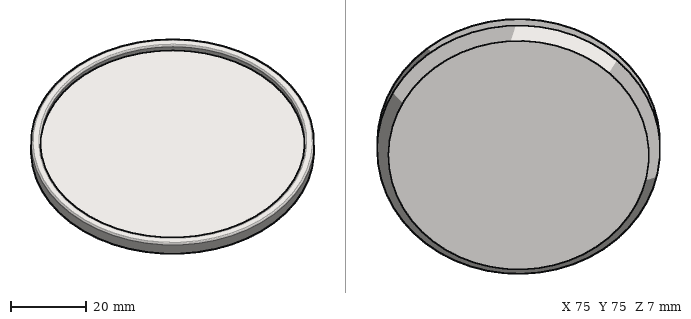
import cadquery as cq

outer_diameter = 75.0
height = 7.0
bottom_chamfer = 3.0

recess_diameter = 70.0
recess_depth = 2.0

rim_fillet = 0.5


def make_disc():
    """Round disc with a wide bevel around its underside."""
    disc = cq.Workplane("XY").circle(outer_diameter / 2).extrude(height)
    return disc.faces("<Z").edges().chamfer(bottom_chamfer)


def cut_recess(disc):
    """Sink the middle of the top face, leaving a raised rim."""
    return disc.faces(">Z").workplane().circle(recess_diameter / 2).cutBlind(-recess_depth)


def round_rim(disc):
    """Round the outer and inner top edges of the rim."""
    return disc.faces(">Z").edges().fillet(rim_fillet)


result = round_rim(cut_recess(make_disc()))